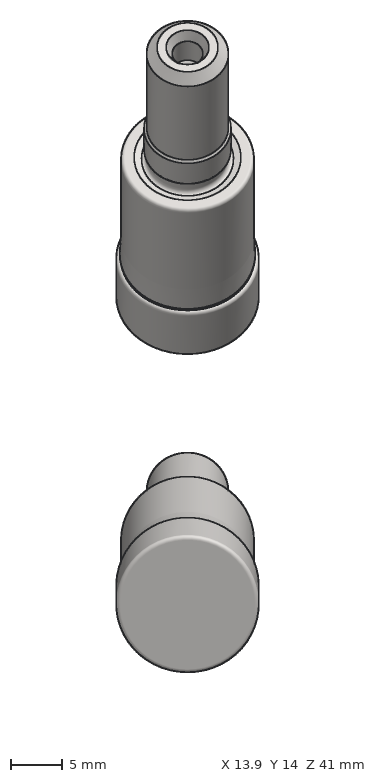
import cadquery as cq

sleeve_height = 23.05
sleeve_diameter = 13.0
sleeve_round = 0.35
taper_top = 10.2
taper_bottom = 7.2
taper_diameter = 13.25
neck_diameter = 13.1
neck_top = 7.1
head_height = 6.85
head_diameter = 13.95
head_round = 0.35
base_round = 0.4

mouth_diameter = 10.4
mouth_depth = 0.25
bore_diameter = 8.98
bore_depth = 1.25

total_height = 41.0
pin_diameter = 8.0
tip_chamfer = 1.02
collar_diameter = 8.5
collar_bottom = 24.15
collar_top = 28.0
collar_chamfer = (collar_diameter - pin_diameter) / 2
hole_diameter = 3.0
hole_mouth_diameter = 4.2
hole_mouth_depth = 1.02
hole_depth = 4.1
drill_tip_height = 0.85

pin_bottom = sleeve_height - bore_depth
seat_top = sleeve_height - mouth_depth


def revolve_outline(outline):
    """Close an outline of radius and height and revolve it about the Z axis."""
    return outline.close().revolve(360, (0, 0, 0), (0, 1, 0))


def make_sleeve():
    """Headed sleeve with a flared lower end and a blind bore."""
    radius = sleeve_diameter / 2
    head_radius = head_diameter / 2
    neck_radius = neck_diameter / 2
    bore_radius = bore_diameter / 2
    outline = (
        cq.Workplane("XZ")
        .lineTo(head_radius - base_round, 0)
        .radiusArc((head_radius, base_round), -base_round)
        .lineTo(head_radius, head_height - head_round)
        .radiusArc((head_radius - head_round, head_height), -head_round)
        .lineTo(neck_radius, head_height)
        .lineTo(neck_radius, neck_top)
        .lineTo(taper_diameter / 2, taper_bottom)
        .lineTo(radius, taper_top)
        .lineTo(radius, sleeve_height - sleeve_round)
        .radiusArc((radius - sleeve_round, sleeve_height), -sleeve_round)
        .lineTo(mouth_diameter / 2, sleeve_height)
        .lineTo(bore_radius, seat_top)
        .lineTo(bore_radius, pin_bottom)
        .lineTo(0, pin_bottom)
    )
    return revolve_outline(outline)


def make_pin():
    """Collared pin: its wider seat fills the bore and blends into the shank."""
    radius = pin_diameter / 2
    seat_radius = bore_diameter / 2
    seat_fillet = seat_radius - radius
    collar_radius = collar_diameter / 2
    hole_radius = hole_diameter / 2
    hole_bottom = total_height - hole_depth
    outline = (
        cq.Workplane("XZ")
        .moveTo(0, pin_bottom)
        .lineTo(seat_radius, pin_bottom)
        .lineTo(seat_radius, seat_top)
        .radiusArc((radius, seat_top + seat_fillet), seat_fillet)
        .lineTo(radius, collar_bottom)
        .lineTo(collar_radius, collar_bottom + collar_chamfer)
        .lineTo(collar_radius, collar_top - collar_chamfer)
        .lineTo(radius, collar_top)
        .lineTo(radius, total_height - tip_chamfer)
        .lineTo(radius - tip_chamfer, total_height)
        .lineTo(hole_mouth_diameter / 2, total_height)
        .lineTo(hole_radius, total_height - hole_mouth_depth)
        .lineTo(hole_radius, hole_bottom)
        .lineTo(0, hole_bottom - drill_tip_height)
    )
    return revolve_outline(outline)


sleeve = make_sleeve()
pin = make_pin()

result = cq.Compound.makeCompound([sleeve.val(), pin.val()])